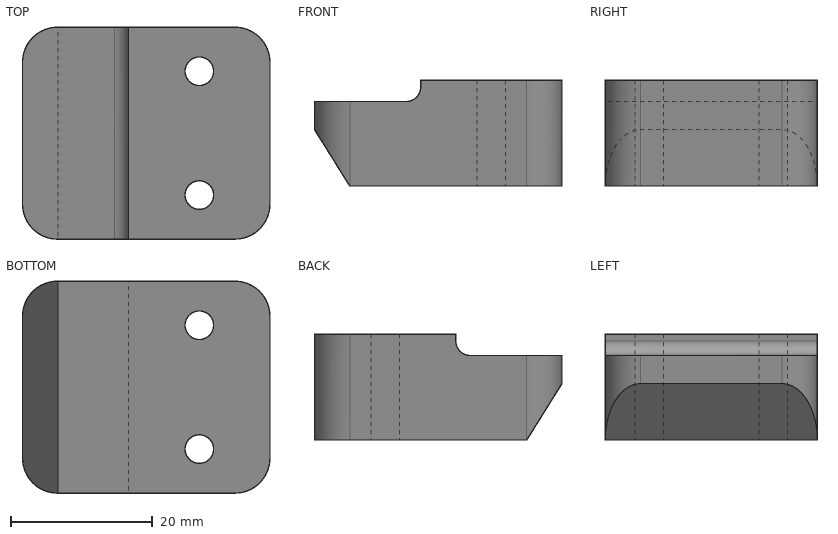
import cadquery as cq

length = 35.0
width = 30.0
height = 15.0
corner_radius = 5.0

ledge_length = 15.0
ledge_height = 12.0
step_fillet_radius = 2.0

undercut_length = corner_radius
undercut_height = 8.0

hole_diameter = 4.0
hole_x = 25.0
hole_spacing = 17.5


def stepped_profile_body():
    """Side profile with the ledge, the step fillet and the undercut, extruded across the width."""
    fillet_start_x = ledge_length - step_fillet_radius
    fillet_end_z = ledge_height + step_fillet_radius
    return (
        cq.Workplane("XZ")
        .moveTo(undercut_length, 0)
        .lineTo(length, 0)
        .lineTo(length, height)
        .lineTo(ledge_length, height)
        .lineTo(ledge_length, fillet_end_z)
        .radiusArc((fillet_start_x, ledge_height), step_fillet_radius)
        .lineTo(0, ledge_height)
        .lineTo(0, undercut_height)
        .close()
        .extrude(width / 2, both=True)
    )


def rounded_outline():
    """Full-height block with rounded vertical corners that trims the profile body."""
    return (
        cq.Workplane("XY")
        .box(length, width, height, centered=(False, True, False))
        .edges("|Z")
        .fillet(corner_radius)
    )


def through_holes():
    """Pair of vertical cylinders placed symmetrically about the XZ plane."""
    return (
        cq.Workplane("XY")
        .pushPoints([(hole_x, side * hole_spacing / 2) for side in (-1, 1)])
        .circle(hole_diameter / 2)
        .extrude(height)
    )


result = stepped_profile_body().intersect(rounded_outline()).cut(through_holes())